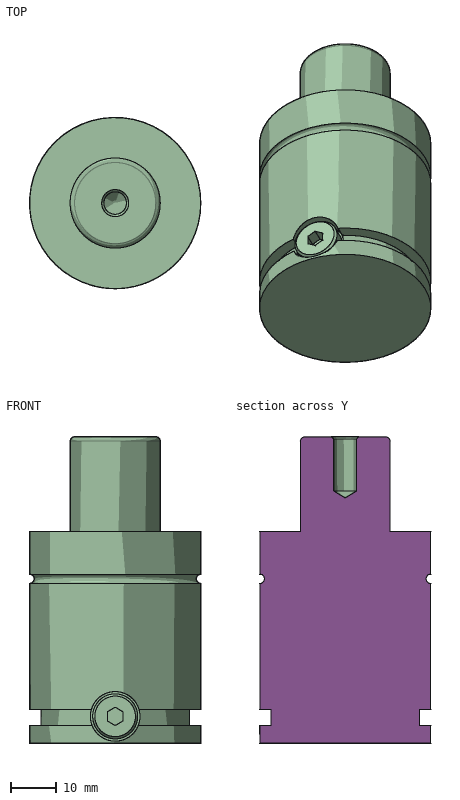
import cadquery as cq
import math

BODY_RADIUS = 19.0
BODY_HEIGHT = 47.0

ROD_RADIUS = 10.0
TOTAL_HEIGHT = 68.0
ROD_TOP_FILLET = 1.0

ROD_HOLE_DIAMETER = 5.0
ROD_HOLE_MOUTH_DIAMETER = 6.0
ROD_HOLE_DEPTH = 12.0
DRILL_POINT_ANGLE = 118.0

ROUND_GROOVE_Z = 36.5
ROUND_GROOVE_RADIUS = 1.0

CLAMP_GROOVE_BOTTOM_Z = 4.0
CLAMP_GROOVE_WIDTH = 3.5
CLAMP_GROOVE_FLOOR_RADIUS = 16.5

PORT_Z = 6.0
PORT_DIAMETER = 11.0
PORT_FLOOR_Y = -15.0
PLUG_DIAMETER = 10.0
PLUG_FACE_Y = -18.5
PLUG_CHAMFER = 0.5
SOCKET_ACROSS_FLATS = 3.5
SOCKET_DEPTH = 3.0


def cylinder_along_z(radius, bottom_z, top_z):
    return cq.Workplane("XY", origin=(0, 0, bottom_z)).circle(radius).extrude(top_z - bottom_z)


def make_body():
    return cylinder_along_z(BODY_RADIUS, 0, BODY_HEIGHT)


def make_rod():
    rod = cylinder_along_z(ROD_RADIUS, 0, TOTAL_HEIGHT)
    return rod.faces(">Z").edges().fillet(ROD_TOP_FILLET)


def make_rod_hole():
    """Drilled hole with a countersunk mouth and a conical bottom."""
    hole_radius = ROD_HOLE_DIAMETER / 2
    mouth_radius = ROD_HOLE_MOUTH_DIAMETER / 2
    mouth_depth = mouth_radius - hole_radius
    point_depth = hole_radius / math.tan(math.radians(DRILL_POINT_ANGLE / 2))
    floor_z = TOTAL_HEIGHT - ROD_HOLE_DEPTH
    half_section = (
        cq.Workplane("XZ")
        .moveTo(0, TOTAL_HEIGHT)
        .lineTo(mouth_radius, TOTAL_HEIGHT)
        .lineTo(hole_radius, TOTAL_HEIGHT - mouth_depth)
        .lineTo(hole_radius, floor_z)
        .lineTo(0, floor_z - point_depth)
        .close()
    )
    return half_section.revolve(360, (0, 0, 0), (0, 1, 0))


def make_round_groove():
    """Ring of circular section centred on the body surface."""
    section = cq.Workplane("XZ").center(BODY_RADIUS, ROUND_GROOVE_Z).circle(ROUND_GROOVE_RADIUS)
    return section.revolve(360, (-BODY_RADIUS, 0, 0), (-BODY_RADIUS, 1, 0))


def make_clamp_groove():
    top_z = CLAMP_GROOVE_BOTTOM_Z + CLAMP_GROOVE_WIDTH
    outside = cylinder_along_z(BODY_RADIUS, CLAMP_GROOVE_BOTTOM_Z, top_z)
    core = cylinder_along_z(CLAMP_GROOVE_FLOOR_RADIUS, CLAMP_GROOVE_BOTTOM_Z, top_z)
    return outside.cut(core)


def port_plane(y):
    """Plane across the port axis at the given Y, facing outward along -Y."""
    return cq.Workplane("XZ", origin=(0, y, PORT_Z))


def make_port():
    return port_plane(PORT_FLOOR_Y).circle(PORT_DIAMETER / 2).extrude(BODY_RADIUS + PORT_FLOOR_Y)


def make_plug():
    plug = port_plane(PORT_FLOOR_Y).circle(PLUG_DIAMETER / 2).extrude(PORT_FLOOR_Y - PLUG_FACE_Y)
    plug = plug.faces("<Y").edges().chamfer(PLUG_CHAMFER)
    across_corners = SOCKET_ACROSS_FLATS / math.cos(math.pi / 6)
    socket = (
        port_plane(PLUG_FACE_Y)
        .transformed(rotate=(0, 0, 90))
        .polygon(6, across_corners)
        .extrude(-SOCKET_DEPTH)
    )
    return plug.cut(socket)


body = make_body().cut(make_round_groove()).cut(make_clamp_groove())
body = body.cut(make_port()).union(make_plug())
result = body.union(make_rod()).cut(make_rod_hole())